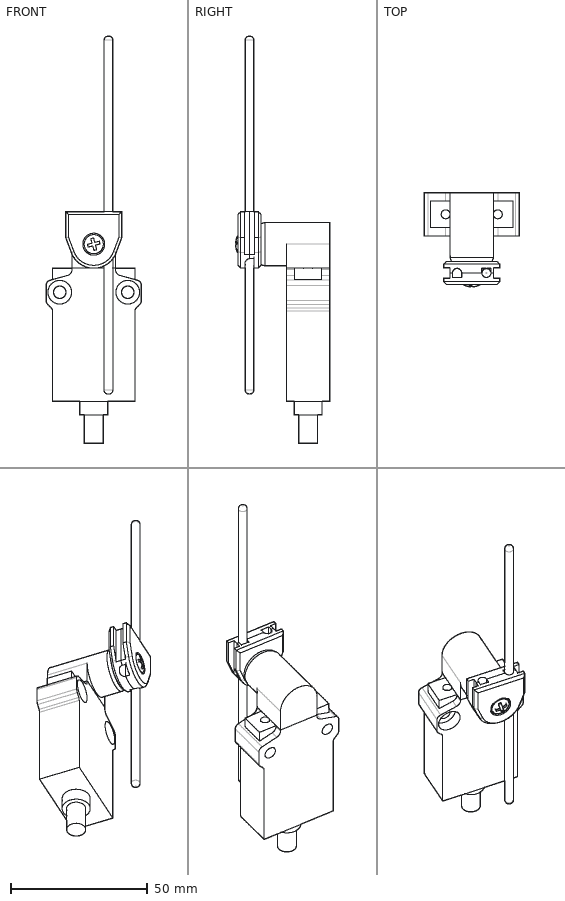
import cadquery as cq
import math


body_width = 30.3
body_depth = 16.0
body_height = 48.8
ear_span = 35.0
ear_side_bottom = 36.1
ear_side_top = 44.0
ear_corner_radius = 2.0
ear_root_radius = 1.5
shoulder_angle = 15.0
shoulder_fillet = 2.2
body_mid_y = -body_depth / 2

mount_hole_spacing = 25.0
mount_hole_height = 40.0
mount_hole_diameter = 4.5
mount_bore_diameter = 8.7
mount_bore_depth = 4.0

block_depth = 9.9
block_base_height = 43.3
block_hole_offset = 9.5
block_hole_diameter = 3.3
block_hole_depth = 3.0

gland_diameter = 10.3
gland_length = 5.0
cable_diameter = 7.0
cable_end = -15.4

head_radius = body_depth / 2
axis_height = 57.6
head_length = 25.2
head_bevel_length = 1.3
head_bevel_depth = 0.5

clamp_depth = 8.5
clamp_width = 20.6
clamp_top = 69.5
clamp_taper_start = 60.0
clamp_round_radius = 8.8
plate_thickness = clamp_depth / 2
plate_bevel = 1.0
flange_thickness = 2.4
core_width = 16.0
clamp_mid_y = -(head_length + plate_thickness)

rod_diameter = 3.3
rod_offset = 5.4
rod_bottom = 2.7
overall_height = 149.3
rod_top = cable_end + overall_height
rod_end_rounding = 1.5

screw_seat_diameter = 8.0
screw_seat_depth = 0.9
screw_head_diameter = 7.0
screw_rim_height = 0.7
screw_dome_height = 1.0
screw_cross_length = 4.5
screw_cross_width = 1.0
screw_cross_depth = 0.9
screw_cross_angle = 15.0


def front_plane(y=0.0):
    """Workplane at depth y whose local axes are X and Z; extruding goes toward -Y."""
    return cq.Workplane("XZ", origin=(0, y, 0))


def make_housing():
    half_body = body_width / 2
    half_ear = ear_span / 2
    shoulder_rise = (half_ear - head_radius) * math.tan(math.radians(shoulder_angle))
    shoulder_top = ear_side_top + shoulder_rise
    ear_root = ear_side_bottom - (half_ear - half_body)
    outline = [
        (-half_body, 0),
        (half_body, 0),
        (half_body, ear_root),
        (half_ear, ear_side_bottom),
        (half_ear, ear_side_top),
        (head_radius, shoulder_top),
        (head_radius, body_height),
        (-head_radius, body_height),
        (-head_radius, shoulder_top),
        (-half_ear, ear_side_top),
        (-half_ear, ear_side_bottom),
        (-half_body, ear_root),
    ]
    housing = front_plane().polyline(outline).close().extrude(body_depth)
    housing = round_corner_pair(housing, half_ear, ear_side_top, ear_corner_radius)
    housing = round_corner_pair(housing, half_ear, ear_side_bottom, ear_corner_radius)
    housing = round_corner_pair(housing, half_body, ear_root, ear_root_radius)
    housing = round_corner_pair(housing, head_radius, shoulder_top, shoulder_fillet)
    housing = housing.union(terminal_blocks()).union(cable_outlet())
    return housing.cut(mounting_holes()).cut(block_holes())


def round_corner_pair(solid, x, z, radius):
    """Fillet the two mirrored edges along Y that lie at height z and at +x and -x."""
    for corner_x in (-x, x):
        edge = cq.selectors.NearestToPointSelector((corner_x, body_mid_y, z))
        solid = solid.edges("|Y").edges(edge).fillet(radius)
    return solid


def terminal_blocks():
    height = body_height - block_base_height
    return cq.Workplane("XY", origin=(0, body_mid_y, block_base_height)).box(
        body_width, block_depth, height, centered=(True, True, False)
    )


def block_holes():
    return (
        cq.Workplane("XY", origin=(0, body_mid_y, body_height))
        .pushPoints([(-block_hole_offset, 0), (block_hole_offset, 0)])
        .circle(block_hole_diameter / 2)
        .extrude(-block_hole_depth)
    )


def mounting_holes():
    half_spacing = mount_hole_spacing / 2
    centres = [(-half_spacing, mount_hole_height), (half_spacing, mount_hole_height)]
    holes = front_plane().pushPoints(centres).circle(mount_hole_diameter / 2).extrude(body_depth)
    bores = (
        front_plane(-body_depth)
        .pushPoints(centres)
        .circle(mount_bore_diameter / 2)
        .extrude(-mount_bore_depth)
    )
    return holes.union(bores)


def cable_outlet():
    base = cq.Workplane("XY", origin=(0, body_mid_y, 0))
    gland = base.circle(gland_diameter / 2).extrude(-gland_length)
    cable = base.circle(cable_diameter / 2).extrude(cable_end)
    return gland.union(cable)


def make_head():
    barrel = (
        front_plane()
        .center(0, axis_height)
        .circle(head_radius)
        .extrude(head_length)
        .faces("<Y")
        .chamfer(head_bevel_length, head_bevel_depth)
    )
    neck_height = axis_height - body_height
    neck = cq.Workplane("XY", origin=(0, body_mid_y, body_height)).box(
        2 * head_radius, body_depth, neck_height, centered=(True, True, False)
    )
    return barrel.union(neck)


def clamp_outline(plane):
    """Square-topped outline whose sides run tangentially into a round bottom."""
    half_width = clamp_width / 2
    corner_rise = clamp_taper_start - axis_height
    corner_distance = math.hypot(half_width, corner_rise)
    tangent_angle = math.atan2(corner_rise, half_width) - math.acos(clamp_round_radius / corner_distance)
    tangent_x = clamp_round_radius * math.cos(tangent_angle)
    tangent_z = axis_height + clamp_round_radius * math.sin(tangent_angle)
    return (
        plane.moveTo(-half_width, clamp_top)
        .lineTo(half_width, clamp_top)
        .lineTo(half_width, clamp_taper_start)
        .lineTo(tangent_x, tangent_z)
        .threePointArc((0, axis_height - clamp_round_radius), (-tangent_x, tangent_z))
        .lineTo(-half_width, clamp_taper_start)
        .close()
    )


def make_clamp_plate():
    """Plate next to the head; its inner face lies on the clamp's middle plane."""
    plate = (
        clamp_outline(front_plane(-head_length))
        .extrude(plate_thickness)
        .faces(">Y")
        .chamfer(plate_bevel)
    )
    return plate.cut(side_notches()).cut(round_groove()).cut(square_groove())


def side_notches():
    notch_depth = plate_thickness - flange_thickness
    notch_width = (clamp_width - core_width) / 2
    notch_height = clamp_top - axis_height + clamp_round_radius
    notch_centre = (clamp_width + core_width) / 4
    return (
        front_plane(clamp_mid_y)
        .pushPoints([(-notch_centre, clamp_top), (notch_centre, clamp_top)])
        .rect(notch_width, 2 * notch_height)
        .extrude(-notch_depth)
    )


def round_groove():
    return (
        cq.Workplane("XY")
        .center(-rod_offset, clamp_mid_y)
        .circle(rod_diameter / 2)
        .extrude(clamp_top)
    )


def square_groove():
    return (
        cq.Workplane("XY")
        .center(rod_offset, clamp_mid_y)
        .rect(rod_diameter, rod_diameter)
        .extrude(clamp_top)
    )


def make_outer_plate(inner_plate):
    """The same plate turned half a turn about Z, with a seat for the screw."""
    turned = inner_plate.rotate((0, clamp_mid_y, 0), (0, clamp_mid_y, 1), 180)
    seat = (
        front_plane(clamp_mid_y - plate_thickness)
        .center(0, axis_height)
        .circle(screw_seat_diameter / 2)
        .extrude(-screw_seat_depth)
    )
    return turned.cut(seat)


def make_rod():
    return (
        cq.Workplane("XY", origin=(rod_offset, clamp_mid_y, rod_bottom))
        .circle(rod_diameter / 2)
        .extrude(rod_top - rod_bottom)
        .faces("<Z or >Z")
        .edges()
        .fillet(rod_end_rounding)
    )


def make_screw():
    """Domed head with a cross recess, standing on the floor of its seat."""
    rim_radius = screw_head_diameter / 2
    floor_y = clamp_mid_y - plate_thickness + screw_seat_depth
    rim_y = floor_y - screw_rim_height
    top_y = rim_y - screw_dome_height
    dome_radius = (rim_radius**2 + screw_dome_height**2) / (2 * screw_dome_height)
    mid_angle = math.asin(rim_radius / dome_radius) / 2
    mid_point = (dome_radius * math.sin(mid_angle), top_y + dome_radius * (1 - math.cos(mid_angle)))
    screw = (
        cq.Workplane("XY", origin=(0, 0, axis_height))
        .moveTo(0, top_y)
        .threePointArc(mid_point, (rim_radius, rim_y))
        .lineTo(rim_radius, floor_y)
        .lineTo(0, floor_y)
        .close()
        .revolve(360, (0, 0, 0), (0, 1, 0))
    )
    for angle in (screw_cross_angle, screw_cross_angle + 90):
        slot = (
            front_plane(top_y)
            .center(0, axis_height)
            .transformed(rotate=(0, 0, angle))
            .rect(screw_cross_length, screw_cross_width)
            .extrude(-screw_cross_depth)
        )
        screw = screw.cut(slot)
    return screw


housing = make_housing()
head = make_head()
inner_plate = make_clamp_plate()
outer_plate = make_outer_plate(inner_plate)
rod = make_rod()
screw = make_screw()

result = cq.Compound.makeCompound(
    [housing.val(), head.val(), inner_plate.val(), outer_plate.val(), rod.val(), screw.val()]
)